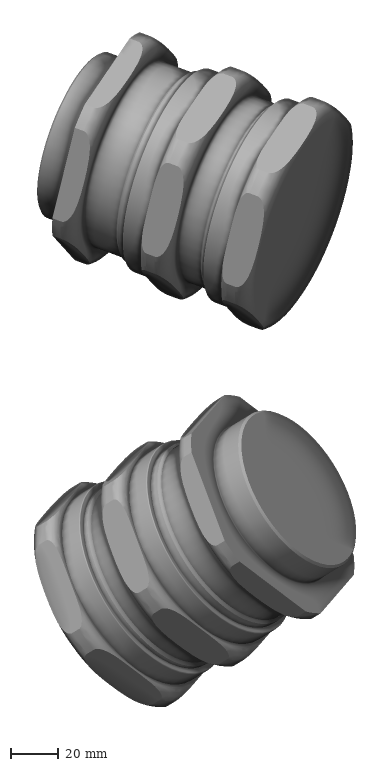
import cadquery as cq
import math

overall_length = 107.8
thread_length = 14.9
entry_hex_end = 25.0
collar_length = 10.0
nut_hex_length = 14.1
first_collar_start = 45.4
second_collar_start = overall_length - nut_hex_length - collar_length
first_seal_length = 4.9
second_seal_length = 3.1

thread_diameter = 75.0
barrel_diameter = 84.1
seal_bore_diameter = 84.4
seal_diameter = 86.9
collar_diameter = 92.2
across_flats = 95.0
across_corners = 104.0

thread_chamfer = 1.0
thread_root_fillet = 0.4
barrel_fillet = 1.1
collar_fillet = 0.4
hex_front_rounding = 4.2
hex_back_rounding = 6.0


def cylinder(start, end, diameter):
    return cq.Workplane("YZ", origin=(start, 0, 0)).circle(diameter / 2).extrude(end - start)


def hexagon(start, end, front_rounding=0.0):
    """Hexagon with flats at top and bottom, its corners turned to a round-edged disc."""
    prism = (
        cq.Workplane("YZ", origin=(start, 0, 0))
        .polygon(6, across_flats / math.cos(math.pi / 6))
        .extrude(end - start)
    )
    disc = cylinder(start, end, across_corners).faces(">X").edges().fillet(hex_back_rounding)
    if front_rounding > 0:
        disc = disc.faces("<X").edges().fillet(front_rounding)
    return prism.intersect(disc)


def revolve_about_axis(profile):
    return profile.close().revolve(360, (0, 0, 0), (1, 0, 0))


def barrel(start, end):
    """Plain cylinder that flares out in a fillet where it leaves the hexagon at its start."""
    radius = barrel_diameter / 2
    return revolve_about_axis(
        cq.Workplane("XY")
        .moveTo(start, 0)
        .lineTo(start, radius + barrel_fillet)
        .radiusArc((start + barrel_fillet, radius), -barrel_fillet)
        .lineTo(end, radius)
        .lineTo(end, 0)
    )


def thread_end():
    """Cylinder with a chamfered tip and a fillet where it meets the hexagon."""
    radius = thread_diameter / 2
    return revolve_about_axis(
        cq.Workplane("XY")
        .lineTo(0, radius - thread_chamfer)
        .lineTo(thread_chamfer, radius)
        .lineTo(thread_length - thread_root_fillet, radius)
        .radiusArc((thread_length, radius + thread_root_fillet), -thread_root_fillet)
        .lineTo(thread_length, 0)
    )


def make_entry():
    """Threaded end, hexagon and barrel."""
    return (
        thread_end()
        .union(hexagon(thread_length, entry_hex_end))
        .union(barrel(entry_hex_end, first_collar_start))
    )


def make_nut(start):
    """Round collar followed by a hexagon."""
    hex_start = start + collar_length
    collar = cylinder(start, hex_start, collar_diameter).faces("<X").edges().fillet(collar_fillet)
    return collar.union(hexagon(hex_start, hex_start + nut_hex_length, hex_front_rounding))


def make_seal(end, length):
    """Thin ring around a barrel, tapered at 45 degrees over its whole wall at the front."""
    start = end - length
    bore_radius = seal_bore_diameter / 2
    outer_radius = seal_diameter / 2
    taper = outer_radius - bore_radius
    return revolve_about_axis(
        cq.Workplane("XY")
        .moveTo(start, bore_radius)
        .lineTo(start + taper, outer_radius)
        .lineTo(end, outer_radius)
        .lineTo(end, bore_radius)
    )


entry = make_entry()

middle_barrel_start = first_collar_start + collar_length + nut_hex_length
middle_nut = make_nut(first_collar_start).union(barrel(middle_barrel_start, second_collar_start))

end_nut = make_nut(second_collar_start)

seal_places = [
    (first_collar_start, first_seal_length),
    (second_collar_start, second_seal_length),
]
seals = [make_seal(end, length) for end, length in seal_places]

result = cq.Compound.makeCompound(
    [entry.val(), middle_nut.val(), end_nut.val(), *[seal.val() for seal in seals]]
)